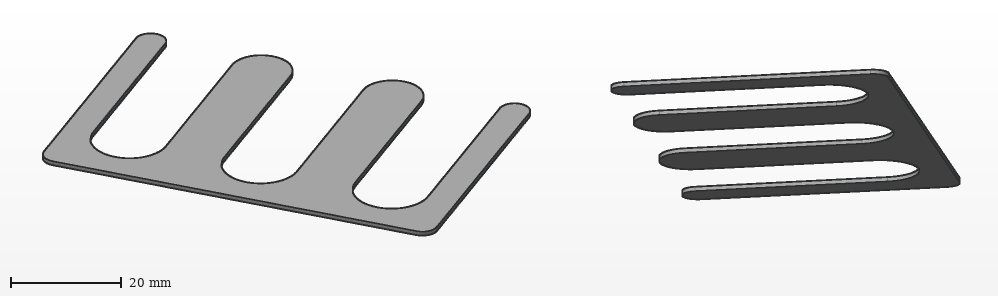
import cadquery as cq

length = 76.2
depth = 50.8
thickness = 0.85
slot_count = 3
slot_width = 14.1

pitch = length / slot_count
inner_finger_width = pitch - slot_width
outer_finger_width = inner_finger_width / 2
spine_width = outer_finger_width
corner_radius = outer_finger_width / 2

left = -length / 2
right = length / 2
front = -depth / 2
back = depth / 2
slot_radius = slot_width / 2
slot_end_y = front + spine_width + slot_radius


def add_finger_tip(outline, start_x, width):
    """Run up a finger's left side and round over its full-radius tip."""
    radius = width / 2
    return (
        outline.lineTo(start_x, back - radius)
        .threePointArc((start_x + radius, back), (start_x + width, back - radius))
    )


def add_slot(outline, start_x):
    """Run down into a slot and around its semicircular closed end."""
    return (
        outline.lineTo(start_x, slot_end_y)
        .threePointArc(
            (start_x + slot_radius, slot_end_y - slot_radius),
            (start_x + slot_width, slot_end_y),
        )
    )


outline = cq.Workplane("XY").moveTo(left, front)
outline = add_finger_tip(outline, left, outer_finger_width)
for index in range(slot_count):
    slot_x = left + outer_finger_width + index * pitch
    is_last = index == slot_count - 1
    next_finger_width = outer_finger_width if is_last else inner_finger_width
    outline = add_slot(outline, slot_x)
    outline = add_finger_tip(outline, slot_x + slot_width, next_finger_width)
plate = outline.lineTo(right, front).close().extrude(thickness)

result = plate.faces("<Y").edges("|Z").fillet(corner_radius)